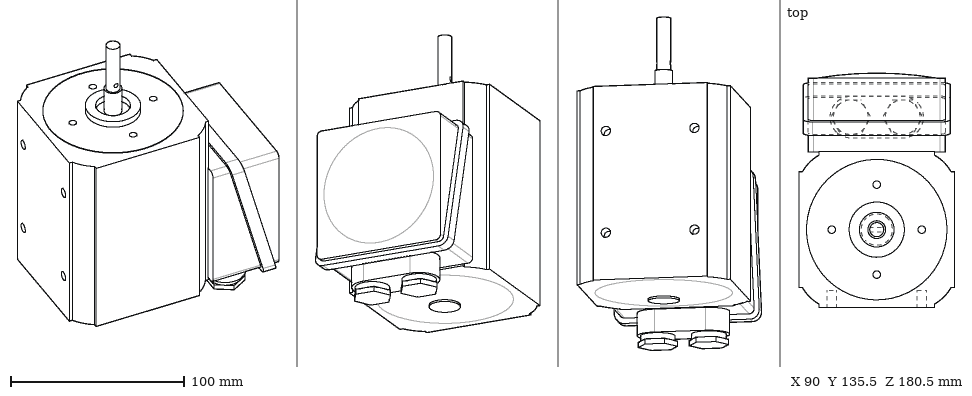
import cadquery as cq
import math


OVERALL_HEIGHT = 180.5

BODY_WIDTH = 90.0
BODY_HEIGHT = 114.0
FACE_FLAT_WIDTH = 67.0
CORNER_STEP = 2.0
CORNER_RADIUS = 27.0
DISC_DIAMETER = 81.2
DISC_HEIGHT = 0.4
PILOT_DIAMETER = 32.0
PILOT_BORE_DIAMETER = 20.0
PILOT_HEIGHT = 4.0
BOTTOM_DOME_DIAMETER = 79.5
BOTTOM_DOME_HEIGHT = 3.8
HUB_DIAMETER = 18.0
HUB_BOTTOM = -4.7

TOP_HOLE_COUNT = 4
TOP_HOLE_CIRCLE_RADIUS = 26.0
TOP_HOLE_DIAMETER = 4.3
FRONT_HOLE_SPACING_X = 52.0
FRONT_HOLE_SPACING_Z = 60.0
FRONT_HOLE_CENTRE_Z = 57.5
FRONT_HOLE_DIAMETER = 5.5
HOLE_DEPTH = 10.0

SHAFT_TOP = 161.7
SHAFT_STEP_Z = 130.7
SHAFT_DIAMETER = 8.1
SHAFT_BASE_DIAMETER = 10.3
PIN_HOLE_Z = 135.2
PIN_HOLE_DIAMETER = 2.5

BOX_SIZE = 79.2
BOX_CENTRE_Z = 40.8
BOX_FRONT_Y = 44.8
BOX_BACK_Y = 87.5
BOX_CORNER_RADIUS = 3.0
LID_DOME_DIAMETER = 70.4
LID_DOME_HEIGHT = 2.98

RIM_SIZE = 85.2
RIM_CORNER_RADIUS = 5.6
RIM_CENTRE_Y = 69.7
RIM_LENGTH_Y = 8.0
RIM_TILT = 15.0

GLAND_CENTRE_Y = 65.0
GLAND_SPACING = 30.0
GLAND_BLOCK_WIDTH = 24.0
GLAND_BLOCK_BOTTOM = -12.3
GLAND_NECK_DIAMETER = 20.0
NUT_TOP = -15.7
NUT_ACROSS_FLATS = 20.0
GLAND_BOTTOM = SHAFT_TOP - OVERALL_HEIGHT

DISC_TOP = BODY_HEIGHT + DISC_HEIGHT
PILOT_TOP = DISC_TOP + PILOT_HEIGHT


def upright_cylinder(diameter, bottom, top, x=0.0, y=0.0):
    return cq.Workplane("XY", origin=(x, y, bottom)).circle(diameter / 2).extrude(top - bottom)


def dome(diameter, height):
    """Shallow spherical cap on the XY plane, bulging toward +Z."""
    rim = diameter / 2
    sphere_radius = (rim**2 + height**2) / (2 * height)
    middle = rim / 2
    middle_height = math.sqrt(sphere_radius**2 - middle**2) - (sphere_radius - height)
    profile = cq.Workplane("XZ").lineTo(rim, 0).threePointArc((middle, middle_height), (0, height)).close()
    return profile.revolve(360, (0, 0, 0), (0, 1, 0))


def quarter_turned(point, turns):
    """Point turned about the shaft axis by a number of counterclockwise quarter turns."""
    x, y = point
    for _ in range(turns):
        x, y = -y, x
    return (x, y)


def housing():
    """Square prism with a stepped, convex round across each corner."""
    half_width = BODY_WIDTH / 2
    half_flat = FACE_FLAT_WIDTH / 2
    relief = half_width - CORNER_STEP
    outline = cq.Workplane("XY").moveTo(half_width, -half_flat)
    for turns in range(4):
        face_end, step_bottom, arc_end, next_face = (
            quarter_turned(point, turns)
            for point in (
                (half_width, half_flat),
                (relief, half_flat),
                (half_flat, relief),
                (half_flat, half_width),
            )
        )
        outline = outline.lineTo(*face_end).lineTo(*step_bottom)
        outline = outline.radiusArc(arc_end, -CORNER_RADIUS).lineTo(*next_face)
    body = outline.close().extrude(BODY_HEIGHT)
    body = body.union(upright_cylinder(DISC_DIAMETER, 0, DISC_TOP))

    pilot = upright_cylinder(PILOT_DIAMETER, BODY_HEIGHT, PILOT_TOP)
    pilot = pilot.cut(upright_cylinder(PILOT_BORE_DIAMETER, BODY_HEIGHT, PILOT_TOP))
    bottom_dome = dome(BOTTOM_DOME_DIAMETER, BOTTOM_DOME_HEIGHT).rotate((0, 0, 0), (1, 0, 0), 180)
    hub = upright_cylinder(HUB_DIAMETER, HUB_BOTTOM, 0)
    return body.union(pilot).union(bottom_dome).union(hub)


def mounting_holes():
    top_holes = (
        cq.Workplane("XY", origin=(0, 0, DISC_TOP))
        .polarArray(TOP_HOLE_CIRCLE_RADIUS, 0, 360, TOP_HOLE_COUNT)
        .circle(TOP_HOLE_DIAMETER / 2)
        .extrude(-HOLE_DEPTH)
    )
    front_holes = (
        cq.Workplane("XZ", origin=(0, -BODY_WIDTH / 2, FRONT_HOLE_CENTRE_Z))
        .rarray(FRONT_HOLE_SPACING_X, FRONT_HOLE_SPACING_Z, 2, 2)
        .circle(FRONT_HOLE_DIAMETER / 2)
        .extrude(-HOLE_DEPTH)
    )
    return top_holes.union(front_holes)


def shaft():
    """Stepped shaft with a cross pin hole along X."""
    base = upright_cylinder(SHAFT_BASE_DIAMETER, BODY_HEIGHT, SHAFT_STEP_Z)
    end = upright_cylinder(SHAFT_DIAMETER, SHAFT_STEP_Z, SHAFT_TOP)
    pin_hole = (
        cq.Workplane("YZ", origin=(0, 0, PIN_HOLE_Z))
        .circle(PIN_HOLE_DIAMETER / 2)
        .extrude(SHAFT_DIAMETER, both=True)
    )
    return base.union(end).cut(pin_hole)


def rounded_square_along_y(size, corner_radius, start_y, end_y):
    block = cq.Workplane("XZ", origin=(0, start_y, BOX_CENTRE_Z)).rect(size, size).extrude(start_y - end_y)
    return block.edges("|Y").fillet(corner_radius)


def slanted_rim():
    """Rounded square rim around the box, bounded front and back by tilted planes."""
    half_height = RIM_SIZE / 2
    half_length = RIM_LENGTH_Y / 2
    lean = half_height * math.tan(math.radians(RIM_TILT))
    top_y = RIM_CENTRE_Y - lean
    bottom_y = RIM_CENTRE_Y + lean
    prism = rounded_square_along_y(RIM_SIZE, RIM_CORNER_RADIUS, top_y - half_length, bottom_y + half_length)
    slab = (
        cq.Workplane("YZ")
        .moveTo(top_y - half_length, BOX_CENTRE_Z + half_height)
        .lineTo(top_y + half_length, BOX_CENTRE_Z + half_height)
        .lineTo(bottom_y + half_length, BOX_CENTRE_Z - half_height)
        .lineTo(bottom_y - half_length, BOX_CENTRE_Z - half_height)
        .close()
        .extrude(RIM_SIZE / 2, both=True)
    )
    return prism.intersect(slab)


def terminal_box():
    box = rounded_square_along_y(BOX_SIZE, BOX_CORNER_RADIUS, BOX_FRONT_Y, BOX_BACK_Y)
    lid_dome = (
        dome(LID_DOME_DIAMETER, LID_DOME_HEIGHT)
        .rotate((0, 0, 0), (1, 0, 0), -90)
        .translate((0, BOX_BACK_Y, BOX_CENTRE_Z))
    )
    return box.union(lid_dome).union(slanted_rim())


def cable_glands():
    """Rounded block under the box carrying two round necks with hexagonal nuts."""
    glands = (
        cq.Workplane("XY", origin=(0, GLAND_CENTRE_Y, GLAND_BLOCK_BOTTOM))
        .slot2D(GLAND_SPACING + GLAND_BLOCK_WIDTH, GLAND_BLOCK_WIDTH)
        .extrude(BOX_CENTRE_Z - GLAND_BLOCK_BOTTOM)
    )
    nut_across_corners = NUT_ACROSS_FLATS / math.cos(math.radians(30))
    for x in (-GLAND_SPACING / 2, GLAND_SPACING / 2):
        neck = upright_cylinder(GLAND_NECK_DIAMETER, NUT_TOP, GLAND_BLOCK_BOTTOM, x, GLAND_CENTRE_Y)
        nut = (
            cq.Workplane("XY", origin=(x, GLAND_CENTRE_Y, GLAND_BOTTOM))
            .polygon(6, nut_across_corners)
            .extrude(NUT_TOP - GLAND_BOTTOM)
        )
        glands = glands.union(neck).union(nut)
    return glands


result = housing().cut(mounting_holes())
for component in (shaft(), terminal_box(), cable_glands()):
    result = result.union(component)